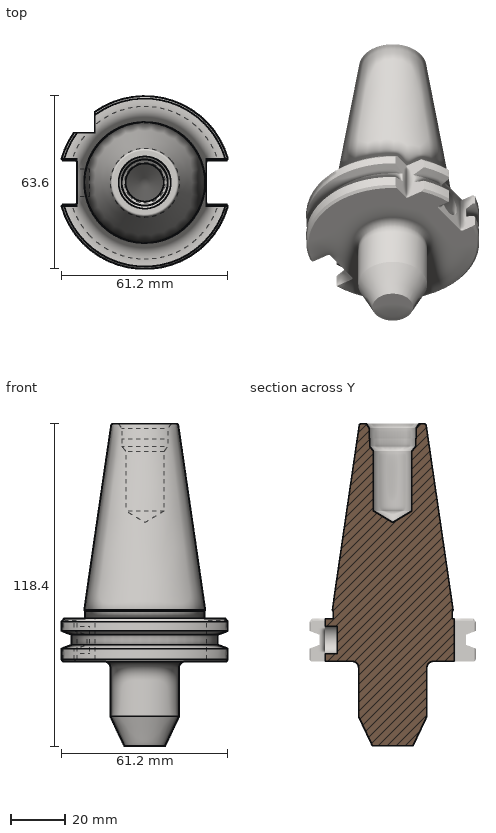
import cadquery as cq
import math

total_height = 118.4
nose_cone_height = 11.0
flange_bottom = 31.0
flange_top = 46.9
gauge_height = 50.1
neck_top = 49.6
groove_height = 39.1

gauge_radius = 22.3
taper_slope = 7 / 48
shank_end_radius = gauge_radius - taper_slope * (total_height - gauge_height)
shank_end_rounding = 0.7
neck_radius = 22.0

nose_radius = 12.7
nose_tip_radius = 7.5
nose_fillet = 2.0

flange_radius = 63.6 / 2
top_chamfer_width = 1.0
top_chamfer_height = 1.2
bottom_chamfer = 0.8
groove_root_radius = 28.1
groove_root_width = 3.7
groove_mouth_width = 6.6
groove_overrun = 1.2

slot_width = 16.1
left_slot_floor = 24.9
right_slot_floor = 22.6
slot_corner_fillet = 0.7
slot_edge_chamfer = 0.7
edge_margin = 0.1
notch_offset = 18.4
side_hole_radius = 5.0
side_hole_depth = 4.5

countersink_radius = 9.6
countersink_depth = 1.7
pilot_radius = 8.5
pilot_depth = 5.5
lower_pilot_radius = 8.4
lower_pilot_depth = 8.3
bore_radius = 7.0
step_end_depth = 10.1
bore_depth = 32.0
drill_point_angle = math.radians(118)


def make_flange_and_nose():
    """Nose and flange turned as one blank, without the V groove."""
    return (
        cq.Workplane("XZ")
        .lineTo(nose_tip_radius, 0)
        .lineTo(nose_radius, nose_cone_height)
        .lineTo(nose_radius, flange_bottom - nose_fillet)
        .radiusArc((nose_radius + nose_fillet, flange_bottom), nose_fillet)
        .lineTo(flange_radius - bottom_chamfer, flange_bottom)
        .lineTo(flange_radius, flange_bottom + bottom_chamfer)
        .lineTo(flange_radius, flange_top - top_chamfer_height)
        .lineTo(flange_radius - top_chamfer_width, flange_top)
        .lineTo(0, flange_top)
        .close()
        .revolve(360, (0, 0, 0), (0, 1, 0))
    )


def make_shank():
    """Short cylindrical neck carrying the taper, rounded at its small end."""
    shank = (
        cq.Workplane("XZ")
        .moveTo(0, flange_top)
        .lineTo(neck_radius, flange_top)
        .lineTo(neck_radius, neck_top)
        .lineTo(gauge_radius, gauge_height)
        .lineTo(shank_end_radius, total_height)
        .lineTo(0, total_height)
        .close()
        .revolve(360, (0, 0, 0), (0, 1, 0))
    )
    return shank.faces(">Z").edges().fillet(shank_end_rounding)


def cut_drive_slot(body, floor_distance, side):
    """Cut a radial slot on the -X (side = -1) or +X (side = +1) and finish its edges."""
    outer_x = side * 2 * flange_radius
    floor_x = side * floor_distance
    half_width = slot_width / 2
    cutter = (
        cq.Workplane("XY", origin=(0, 0, flange_bottom))
        .moveTo(floor_x, -half_width)
        .lineTo(floor_x, half_width)
        .lineTo(outer_x, half_width)
        .lineTo(outer_x, -half_width)
        .close()
        .extrude(flange_top - flange_bottom)
    )
    body = body.cut(cutter)

    wall_edges = cq.selectors.BoxSelector(
        (floor_x + side * edge_margin, -half_width - edge_margin, flange_bottom + bottom_chamfer),
        (outer_x, half_width + edge_margin, flange_top + edge_margin),
    )
    body = body.faces("|Y").edges(wall_edges).chamfer(slot_edge_chamfer)

    floor_corners = cq.selectors.BoxSelector(
        (floor_x - edge_margin, -half_width - edge_margin, flange_bottom),
        (floor_x + edge_margin, half_width + edge_margin, flange_top),
    )
    return body.edges("|Z").edges(floor_corners).fillet(slot_corner_fillet)


def make_notch_cutter():
    """Square corner removed from the whole flange height on the -X, +Y side."""
    return (
        cq.Workplane("XY", origin=(-notch_offset, notch_offset, flange_bottom))
        .rect(-flange_radius, flange_radius, centered=False)
        .extrude(flange_top - flange_bottom)
    )


def make_side_hole_cutter():
    """Blind round hole in the floor of the -X slot."""
    return (
        cq.Workplane("YZ", origin=(-left_slot_floor, 0, groove_height))
        .circle(side_hole_radius)
        .extrude(side_hole_depth)
    )


def make_groove_cutter():
    """Ring with a V-flanked section that leaves the gripper groove."""
    half_root = groove_root_width / 2
    half_mouth = groove_mouth_width / 2
    return (
        cq.Workplane("XZ")
        .moveTo(groove_root_radius, groove_height - half_root)
        .lineTo(flange_radius, groove_height - half_mouth)
        .lineTo(flange_radius + groove_overrun, groove_height - half_mouth)
        .lineTo(flange_radius + groove_overrun, groove_height + half_mouth)
        .lineTo(flange_radius, groove_height + half_mouth)
        .lineTo(groove_root_radius, groove_height + half_root)
        .close()
        .revolve(360, (0, 0, 0), (0, 1, 0))
    )


def make_bore_cutter():
    """Countersunk pilot, tapered step and blind drilled bore."""
    tip_depth = bore_depth + bore_radius / math.tan(drill_point_angle / 2)
    return (
        cq.Workplane("XZ", origin=(0, 0, total_height))
        .lineTo(countersink_radius, 0)
        .lineTo(pilot_radius, -countersink_depth)
        .lineTo(pilot_radius, -pilot_depth)
        .lineTo(lower_pilot_radius, -pilot_depth)
        .lineTo(lower_pilot_radius, -lower_pilot_depth)
        .lineTo(bore_radius, -step_end_depth)
        .lineTo(bore_radius, -bore_depth)
        .lineTo(0, -tip_depth)
        .close()
        .revolve(360, (0, 0, 0), (0, 1, 0))
    )


body = make_flange_and_nose()
body = cut_drive_slot(body, left_slot_floor, -1)
body = cut_drive_slot(body, right_slot_floor, 1)
body = body.cut(make_groove_cutter())
body = body.cut(make_notch_cutter())
body = body.cut(make_side_hole_cutter())
body = body.union(make_shank())
result = body.cut(make_bore_cutter())